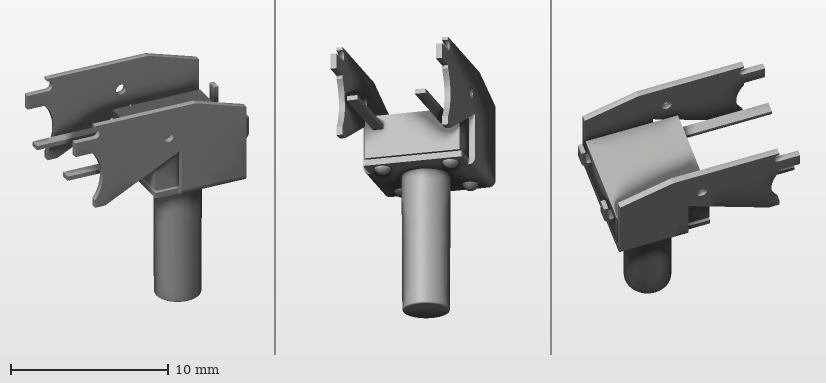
import cadquery as cq


bracket_width = 7.4
sheet = 0.4
bend_inner_radius = 0.03
bend_outer_radius = bend_inner_radius + sheet
base_length = 6.2
base_back_y = base_length / 2
base_width = bracket_width - 2 * bend_outer_radius

wall_top_z = 6.5
wall_back_top_z = 5.4
wall_slope_end_y = -0.5
wall_front_y = -7.6
wall_lower_front_y = -1.5
wall_notch_z = 3.37
wall_toe_z = 0.6
wall_toe_back_y = -6.9

tab_end_y = -9.0
tab_bottom_z = 4.6
tab_top_z = 5.6
relief_radius = 0.35
scallop_top_z = 4.37
scallop_bottom_z = 1.15
scallop_depth = 0.53

pivot_hole_diameter = 0.7
pivot_hole_y = -2.4
pivot_hole_z = 4.5

body_gap = 0.1
body_width = 6.25
body_height = 2.8
body_bottom_z = sheet + body_gap
body_mid_z = body_bottom_z + body_height / 2

pin_pitch = 4.5
pin_width = 0.7
pin_thickness = 0.3
pin_bottom_z = 2.35
pin_tip_z = 3.95
pin_front_y = tab_end_y
pin_back_y = 3.8
pin_bend_inner_radius = 0.2

rivet_pitch = 4.5
rivet_offset = 0.05
rivet_neck_diameter = 0.82
rivet_head_diameter = 1.05
rivet_rim_height = 0.1
rivet_head_height = 0.42

plunger_top_diameter = 3.15
plunger_tip_diameter = 3.03
plunger_tip_z = -9.05
plunger_tip_round = 0.1


def make_channel():
    """U-shaped bent sheet running along Y, over the full length of the walls."""
    length = base_back_y - tab_end_y
    outer = (
        cq.Workplane("XY")
        .box(bracket_width, length, wall_top_z, centered=(True, False, False))
        .edges("|Y and <Z")
        .fillet(bend_outer_radius)
    )
    inner = (
        cq.Workplane("XY", origin=(0, 0, sheet))
        .box(bracket_width - 2 * sheet, length, wall_top_z, centered=(True, False, False))
        .edges("|Y and <Z")
        .fillet(bend_inner_radius)
    )
    return outer.cut(inner).translate((0, tab_end_y, 0))


def make_wall_outline():
    """Side profile of the walls, extruded across the bracket width."""
    relief_mid = (wall_front_y + relief_radius, tab_top_z + relief_radius)
    scallop_mid = (wall_front_y + scallop_depth, (scallop_top_z + scallop_bottom_z) / 2)
    return (
        cq.Workplane("YZ")
        .moveTo(base_back_y, 0)
        .lineTo(base_back_y, wall_back_top_z)
        .lineTo(wall_slope_end_y, wall_top_z)
        .lineTo(wall_front_y, wall_top_z)
        .lineTo(wall_front_y, tab_top_z + 2 * relief_radius)
        .threePointArc(relief_mid, (wall_front_y, tab_top_z))
        .lineTo(tab_end_y, tab_top_z)
        .lineTo(tab_end_y, tab_bottom_z)
        .lineTo(wall_front_y, tab_bottom_z)
        .lineTo(wall_front_y, scallop_top_z)
        .threePointArc(scallop_mid, (wall_front_y, scallop_bottom_z))
        .lineTo(wall_front_y, wall_toe_z)
        .lineTo(wall_toe_back_y, wall_toe_z)
        .lineTo(wall_lower_front_y, wall_notch_z)
        .lineTo(wall_lower_front_y, 0)
        .close()
        .extrude(bracket_width / 2, both=True)
    )


def make_bracket():
    """Bent channel trimmed to the wall profile, with a full-length base and pivot holes."""
    base = cq.Workplane("XY").box(base_width, base_length, sheet, centered=(True, True, False))
    pivot_hole = (
        cq.Workplane("YZ")
        .center(pivot_hole_y, pivot_hole_z)
        .circle(pivot_hole_diameter / 2)
        .extrude(bracket_width, both=True)
    )
    return make_channel().intersect(make_wall_outline()).union(base).cut(pivot_hole)


def make_body():
    """Plain rectangular switch body."""
    return cq.Workplane("XY", origin=(0, 0, body_mid_z)).box(body_width, base_length, body_height)


def make_pin(x):
    """Flat pin running through the body, bent upward behind it."""
    bend_outer = pin_bend_inner_radius + pin_thickness
    pin_top_z = pin_bottom_z + pin_thickness
    inner_y = pin_back_y - pin_thickness
    return (
        cq.Workplane("YZ", origin=(x, 0, 0))
        .moveTo(pin_front_y, pin_bottom_z)
        .lineTo(pin_back_y - bend_outer, pin_bottom_z)
        .radiusArc((pin_back_y, pin_bottom_z + bend_outer), -bend_outer)
        .lineTo(pin_back_y, pin_tip_z)
        .lineTo(inner_y, pin_tip_z)
        .lineTo(inner_y, pin_top_z + pin_bend_inner_radius)
        .radiusArc((inner_y - pin_bend_inner_radius, pin_top_z), pin_bend_inner_radius)
        .lineTo(pin_front_y, pin_top_z)
        .close()
        .extrude(pin_width / 2, both=True)
    )


def make_rivet(x, y):
    """Neck from the body through the base, with a domed head underneath."""
    head_radius = rivet_head_diameter / 2
    dome_height = rivet_head_height - rivet_rim_height
    sphere_radius = (head_radius**2 + dome_height**2) / (2 * dome_height)
    neck_radius = rivet_neck_diameter / 2
    return (
        cq.Workplane("XZ")
        .moveTo(0, body_mid_z)
        .lineTo(-neck_radius, body_mid_z)
        .lineTo(-neck_radius, 0)
        .lineTo(-head_radius, 0)
        .lineTo(-head_radius, -rivet_rim_height)
        .radiusArc((0, -rivet_head_height), -sphere_radius)
        .close()
        .revolve(360, (0, 0, 0), (0, 1, 0))
        .translate((x, y, 0))
    )


def make_plunger():
    """Slightly tapered round stem, rising through the base into the body."""
    return (
        cq.Workplane("XZ")
        .moveTo(0, body_mid_z)
        .lineTo(-plunger_top_diameter / 2, body_mid_z)
        .lineTo(-plunger_tip_diameter / 2, plunger_tip_z)
        .lineTo(0, plunger_tip_z)
        .close()
        .revolve(360, (0, 0, 0), (0, 1, 0))
        .edges("<Z")
        .fillet(plunger_tip_round)
    )


result = make_bracket().union(make_body()).union(make_plunger())
for side in (-1, 1):
    result = result.union(make_pin(side * pin_pitch / 2))
    rivet_x = side * rivet_pitch / 2 + rivet_offset
    for end in (-1, 1):
        rivet_y = end * rivet_pitch / 2 - rivet_offset
        result = result.union(make_rivet(rivet_x, rivet_y))